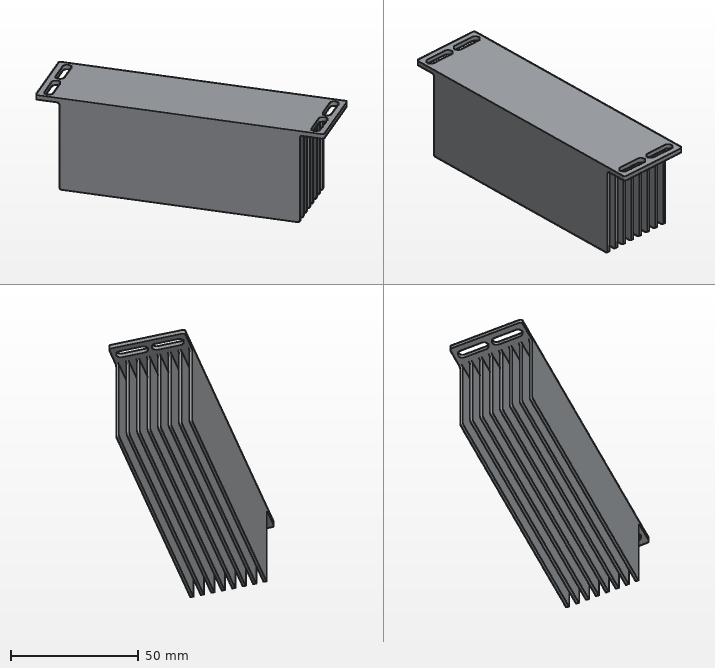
import cadquery as cq

plate_length = 118.8
plate_width = 31.4
plate_thickness = 2.0
overall_height = 40.0

fin_count = 8
fin_length = 99.1
fin_thickness = 1.2
fin_pitch = (plate_width - fin_thickness) / (fin_count - 1)

edge_radius = 1.0

slot_width = 3.6
slot_length = 13.0
slot_pitch = 14.7
slot_end_inset = 4.4


def make_plate():
    """Flat plate with rounded vertical corners."""
    return (
        cq.Workplane("XY")
        .rect(plate_length, plate_width)
        .extrude(-plate_thickness)
        .edges("|Z")
        .fillet(edge_radius)
    )


def make_fin(center_y):
    """Fin with rounded lower corners and flared fillets where it meets the plate."""
    half_length = fin_length / 2
    root_half_length = half_length + edge_radius
    root_z = -plate_thickness
    return (
        cq.Workplane("XZ", origin=(0, center_y + fin_thickness / 2, 0))
        .moveTo(-root_half_length, root_z)
        .radiusArc((-half_length, root_z - edge_radius), edge_radius)
        .lineTo(-half_length, -overall_height + edge_radius)
        .radiusArc((-half_length + edge_radius, -overall_height), -edge_radius)
        .lineTo(half_length - edge_radius, -overall_height)
        .radiusArc((half_length, -overall_height + edge_radius), -edge_radius)
        .lineTo(half_length, root_z - edge_radius)
        .radiusArc((root_half_length, root_z), edge_radius)
        .close()
        .extrude(fin_thickness)
    )


def make_slots():
    """Cutters for two slots at each end, elongated across the plate."""
    slot_spacing = plate_length - 2 * slot_end_inset
    return (
        cq.Workplane("XY")
        .rarray(slot_spacing, slot_pitch, 2, 2)
        .slot2D(slot_length, slot_width, 90)
        .extrude(-plate_thickness)
    )


def make_heat_sink():
    """Slotted plate carrying the row of fins below it."""
    body = make_plate()
    first_fin_y = -(plate_width - fin_thickness) / 2
    for index in range(fin_count):
        fin = make_fin(first_fin_y + index * fin_pitch)
        body = body.union(fin)
    return body.cut(make_slots())


result = make_heat_sink()